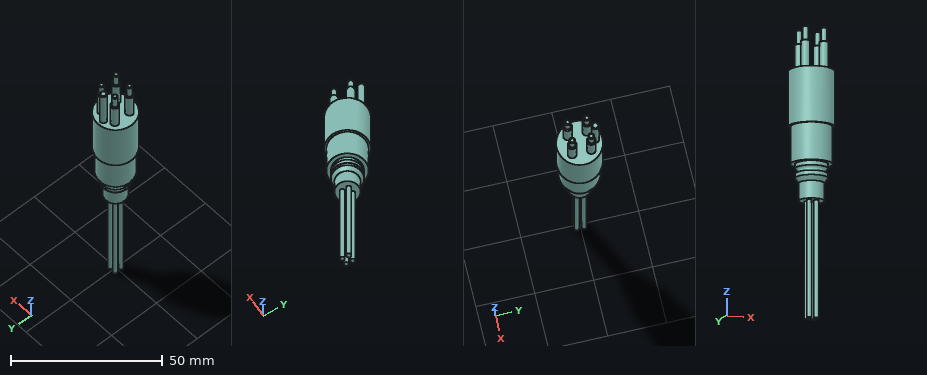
import cadquery as cq
WIRE_DIAMETER = 1.7
WIRE_LENGTH = 40.0
WIRE_OFFSET = 1.25

TAIL_DIAMETER = 8.7
TAIL_LENGTH = 6.0
TAPER_HEIGHT = 1.7
COLLAR_DIAMETER = 11.0
COLLAR_BAND_HEIGHT = 1.5
GROOVE_WIDTH = 1.8
GROOVE_DEPTH = 0.6
UPPER_BAND_HEIGHT = 1.5
BARREL_DIAMETER = 14.0
BARREL_LENGTH = 12.7
HEAD_DIAMETER = 15.5
HEAD_LENGTH = 19.0

PIN_LENGTH = 14.3
PIN_DIAMETER = 3.0
PIN_OFFSET = 3.25
PIN_TIP_DIAMETER = 2.0
PIN_TIP_LENGTH = 4.95
PIN_SHOULDER_HEIGHT = 0.25
KEY_DIAMETER = 2.5
KEY_OFFSET = 5.4
TIP_CHAMFER = 0.3

TAPER_BOTTOM = TAIL_LENGTH
TAPER_TOP = TAPER_BOTTOM + TAPER_HEIGHT
GROOVE_BOTTOM = TAPER_TOP + COLLAR_BAND_HEIGHT
GROOVE_TOP = GROOVE_BOTTOM + GROOVE_WIDTH
BARREL_BOTTOM = GROOVE_TOP + UPPER_BAND_HEIGHT
HEAD_BOTTOM = BARREL_BOTTOM + BARREL_LENGTH
HEAD_TOP = HEAD_BOTTOM + HEAD_LENGTH


def square_pattern(offset):
    return [(x, y) for x in (-offset, offset) for y in (-offset, offset)]


def cylinder(center, bottom, diameter, length):
    return cq.Workplane("XY", origin=(*center, bottom)).circle(diameter / 2).extrude(length)


def make_body():
    tail = TAIL_DIAMETER / 2
    collar = COLLAR_DIAMETER / 2
    barrel = BARREL_DIAMETER / 2
    head = HEAD_DIAMETER / 2
    groove_middle = GROOVE_BOTTOM + GROOVE_WIDTH / 2
    return (
        cq.Workplane("XZ")
        .lineTo(tail, 0)
        .lineTo(tail, TAPER_BOTTOM)
        .lineTo(collar, TAPER_TOP)
        .lineTo(collar, GROOVE_BOTTOM)
        .threePointArc((collar - GROOVE_DEPTH, groove_middle), (collar, GROOVE_TOP))
        .lineTo(collar, BARREL_BOTTOM)
        .lineTo(barrel, BARREL_BOTTOM)
        .lineTo(barrel, HEAD_BOTTOM)
        .lineTo(head, HEAD_BOTTOM)
        .lineTo(head, HEAD_TOP)
        .lineTo(0, HEAD_TOP)
        .close()
        .revolve(360, (0, 0, 0), (0, 1, 0))
    )


def make_contact_pin(center):
    sleeve = PIN_DIAMETER / 2
    tip = PIN_TIP_DIAMETER / 2
    sleeve_top = PIN_LENGTH - PIN_TIP_LENGTH
    pin = (
        cq.Workplane("XZ")
        .lineTo(sleeve, 0)
        .lineTo(sleeve, sleeve_top)
        .lineTo(tip, sleeve_top + PIN_SHOULDER_HEIGHT)
        .lineTo(tip, PIN_LENGTH - TIP_CHAMFER)
        .lineTo(tip - TIP_CHAMFER, PIN_LENGTH)
        .lineTo(0, PIN_LENGTH)
        .close()
        .revolve(360, (0, 0, 0), (0, 1, 0))
    )
    return pin.translate((*center, HEAD_TOP))


def make_key_pin():
    key = cylinder((0, KEY_OFFSET), HEAD_TOP, KEY_DIAMETER, PIN_LENGTH)
    return key.faces(">Z").chamfer(TIP_CHAMFER)


result = make_body().union(make_key_pin())
for pin_center in square_pattern(PIN_OFFSET):
    result = result.union(make_contact_pin(pin_center))
for wire_center in square_pattern(WIRE_OFFSET):
    result = result.union(cylinder(wire_center, -WIRE_LENGTH, WIRE_DIAMETER, WIRE_LENGTH))